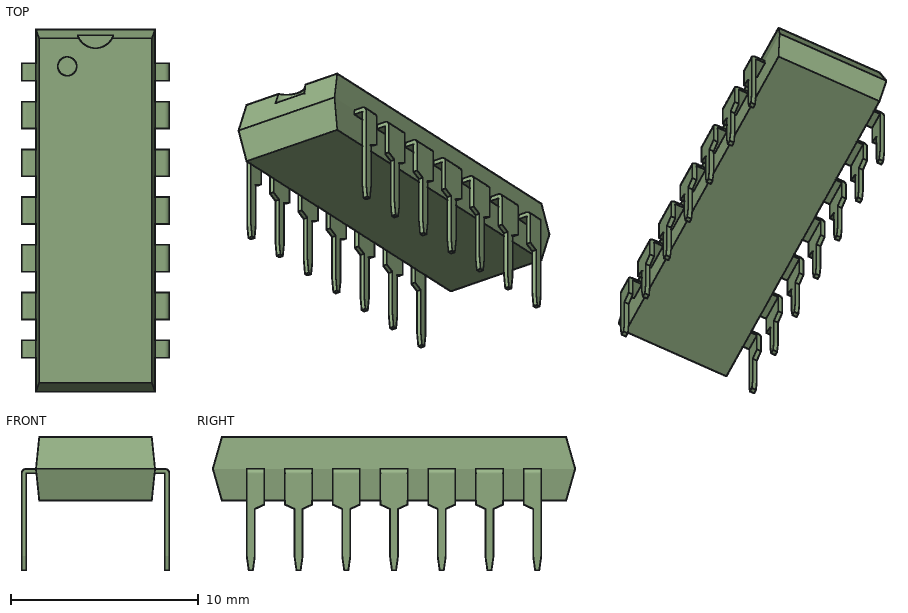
import cadquery as cq


body_width = 6.35
body_length = 19.3
half_height = 1.7
side_inset = 0.17
end_inset = 0.48

notch_radius = 1.0
notch_depth = 0.62
dot_diameter = 1.0
dot_depth = 0.02
dot_x = -1.5
dot_y = 7.68

leads_per_side = 7
lead_row_length = 15.25
lead_pitch = lead_row_length / (leads_per_side - 1)
lead_span = 7.87
lead_thickness = 0.25
lead_drop = 5.4
shoulder_width = 1.45
shoulder_drop = 1.91
neck_drop = 2.15
leg_width = 0.45
tip_width = 0.23
tip_length = 0.75
lead_embed = 0.2


def body_half(direction):
    """Tapered half of the body; direction is +1 for the upper half, -1 for the lower."""
    return (
        cq.Workplane("XY")
        .rect(body_width, body_length)
        .workplane(offset=direction * half_height)
        .rect(body_width - 2 * side_inset, body_length - 2 * end_inset)
        .loft(combine=True)
    )


def lead_bend():
    """Bent strip of the -X leads, wide enough in Y to be trimmed to any lead."""
    outer_x = -lead_span / 2
    inner_x = outer_x + lead_thickness
    root_x = -body_width / 2 + lead_embed
    return (
        cq.Workplane("XZ")
        .moveTo(root_x, 0)
        .lineTo(inner_x, 0)
        .radiusArc((outer_x, -lead_thickness), -lead_thickness)
        .lineTo(outer_x, -lead_drop)
        .lineTo(inner_x, -lead_drop)
        .lineTo(inner_x, -lead_thickness)
        .lineTo(root_x, -lead_thickness)
        .close()
        .extrude(shoulder_width / 2, both=True)
    )


def lead_outline(minus_shoulder, plus_shoulder):
    """Lead silhouette along X, with the shoulder half-widths toward -Y and +Y."""
    half_leg = leg_width / 2
    half_tip = tip_width / 2
    tip_top = tip_length - lead_drop
    return (
        cq.Workplane("YZ")
        .polyline([
            (-minus_shoulder, 0),
            (-minus_shoulder, -shoulder_drop),
            (-half_leg, -neck_drop),
            (-half_leg, tip_top),
            (-half_tip, -lead_drop),
            (half_tip, -lead_drop),
            (half_leg, tip_top),
            (half_leg, -neck_drop),
            (plus_shoulder, -shoulder_drop),
            (plus_shoulder, 0),
        ])
        .close()
        .extrude(-lead_span)
    )


def lead(index):
    """One -X lead; the first and last have no shoulder on their outer side."""
    minus_shoulder = shoulder_width / 2
    plus_shoulder = shoulder_width / 2
    if index == 0:
        minus_shoulder = leg_width / 2
    if index == leads_per_side - 1:
        plus_shoulder = leg_width / 2
    y = index * lead_pitch - lead_row_length / 2
    shape = lead_bend().intersect(lead_outline(minus_shoulder, plus_shoulder))
    return shape.translate((0, y, 0))


body = body_half(1).union(body_half(-1))

notch = (
    cq.Workplane("XY", origin=(0, body_length / 2, half_height))
    .circle(notch_radius)
    .extrude(-notch_depth)
)

dot = (
    cq.Workplane("XY", origin=(dot_x, dot_y, half_height))
    .circle(dot_diameter / 2)
    .extrude(-dot_depth)
)

result = body.cut(notch).cut(dot)
for lead_index in range(leads_per_side):
    left_lead = lead(lead_index)
    result = result.union(left_lead).union(left_lead.mirror("YZ"))